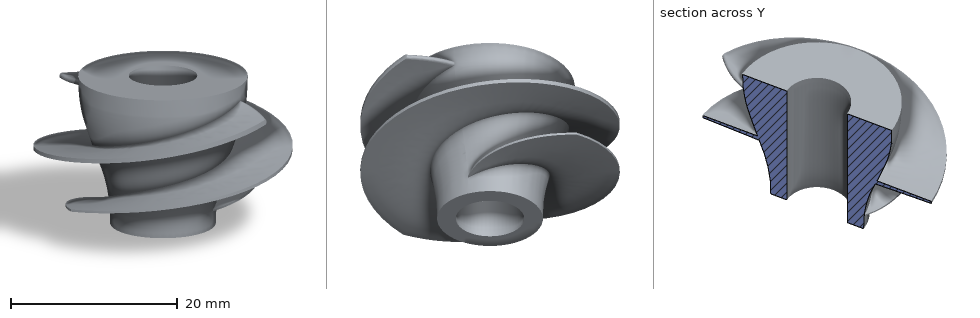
import cadquery as cq
import math

HUB_HEIGHT = 18.45
BOTTOM_RADIUS = 6.35
TOP_RADIUS = 10.17
BORE_RADIUS = 4.1
FLARE_POINTS = [(6.47, 2.8), (7.2, 6.37), (8.15, 8.95), (8.95, 11.3), (9.55, 13.15), (10.1, 16.48)]

BLADE_COUNT = 2
BLADE_RADIUS = 15.55
BLADE_ROOT_RADIUS = 5.3
START_ANGLE = -180
END_ANGLE = 180
BLADE_HEIGHTS = [2.25, 5.75, 8.77, 12.15, 16.25]
START_THICKNESS = 0.2
END_THICKNESS = 0.68
ROOT_THICKENING = 0.37

LEADING_TIP_ANGLE = -113
TRAILING_TIP_ANGLE = 165
TRAILING_ROUND = 0.3
LONG_EDGE = 3.1
CUTTER_RADIUS = BLADE_RADIUS + 0.93
CUTTER_FAR_RADIUS = BLADE_RADIUS + 5.9
CUTTER_OVERLAP = 0.47
CUTTER_MARGIN = 10
LEADING_CUT_TOP = 7.77
TRAILING_CUT_BOTTOM = 12.45
SPIRAL_STEPS = 6


def polar(radius, angle):
    turn = math.radians(angle)
    return radius * math.cos(turn), radius * math.sin(turn)


def make_hub():
    body = (
        cq.Workplane("XZ")
        .moveTo(0, 0)
        .lineTo(BOTTOM_RADIUS, 0)
        .spline(FLARE_POINTS + [(TOP_RADIUS, HUB_HEIGHT)], includeCurrent=True)
        .lineTo(0, HUB_HEIGHT)
        .close()
        .revolve(360, (0, 0, 0), (0, 1, 0))
    )
    bore = cq.Workplane("XY").circle(BORE_RADIUS).extrude(HUB_HEIGHT)
    return body.cut(bore)


def height_at(fraction):
    """Mid-thickness height, by smooth cubic steps through BLADE_HEIGHTS."""
    last = len(BLADE_HEIGHTS) - 1
    step = min(int(fraction * last), last - 1)
    t = fraction * last - step

    def slope(i):
        low = max(i - 1, 0)
        high = min(i + 1, last)
        return (BLADE_HEIGHTS[high] - BLADE_HEIGHTS[low]) / (high - low)

    z0 = BLADE_HEIGHTS[step]
    rise = BLADE_HEIGHTS[step + 1] - z0
    m0 = slope(step)
    m1 = slope(step + 1)
    return z0 + m0 * t + (3 * rise - 2 * m0 - m1) * t**2 + (m0 + m1 - 2 * rise) * t**3


def blade_edge(radius, side):
    """Helical edge on the upper (side = 1) or lower (side = -1) blade face."""
    steps = 32
    points = []
    for i in range(steps + 1):
        fraction = i / steps
        x, y = polar(radius, START_ANGLE + (END_ANGLE - START_ANGLE) * fraction)
        thickness = START_THICKNESS + (END_THICKNESS - START_THICKNESS) * fraction
        z = height_at(fraction) + side * thickness / 2
        if side < 0 and radius == BLADE_ROOT_RADIUS:
            z -= ROOT_THICKENING * math.sin(math.pi * fraction)
        points.append(cq.Vector(x, y, z))
    return cq.Edge.makeSpline(points)


def make_full_turn():
    corners = [
        blade_edge(BLADE_ROOT_RADIUS, -1),
        blade_edge(BLADE_RADIUS, -1),
        blade_edge(BLADE_RADIUS, 1),
        blade_edge(BLADE_ROOT_RADIUS, 1),
    ]
    faces = [cq.Face.makeRuledSurface(corners[i - 1], corners[i]) for i in range(4)]
    for end in (0, 1):
        section = [edge.positionAt(end) for edge in corners]
        faces.append(cq.Face.makeFromWires(cq.Wire.makePolygon(section, close=True)))
    return cq.Workplane(cq.Solid.makeSolid(cq.Shell.makeShell(faces)))


def end_cutter(root_radius, root_angle, tip_angle, outside_angle, bottom, top):
    """Prism bounded by the spiral of a blade end and reaching past that end."""
    spiral = []
    inner = root_radius - CUTTER_OVERLAP
    for i in range(SPIRAL_STEPS + 1):
        radius = inner + (CUTTER_RADIUS - inner) * i / SPIRAL_STEPS
        share = (radius - root_radius) / (BLADE_RADIUS - root_radius)
        spiral.append(polar(radius, root_angle + (tip_angle - root_angle) * share))
    far_middle = polar(CUTTER_FAR_RADIUS, (tip_angle + outside_angle) / 2)
    return (
        cq.Workplane("XY", origin=(0, 0, bottom))
        .spline(spiral)
        .lineTo(*far_middle)
        .lineTo(*polar(CUTTER_RADIUS, outside_angle))
        .lineTo(*polar(inner, outside_angle))
        .close()
        .extrude(top - bottom)
    )


def make_blade():
    leading = end_cutter(
        root_radius=BOTTOM_RADIUS,
        root_angle=START_ANGLE,
        tip_angle=LEADING_TIP_ANGLE,
        outside_angle=START_ANGLE - CUTTER_MARGIN,
        bottom=0,
        top=LEADING_CUT_TOP,
    )
    trailing = end_cutter(
        root_radius=TOP_RADIUS,
        root_angle=END_ANGLE,
        tip_angle=TRAILING_TIP_ANGLE,
        outside_angle=END_ANGLE + CUTTER_MARGIN,
        bottom=TRAILING_CUT_BOTTOM,
        top=HUB_HEIGHT,
    )
    blade = make_full_turn().cut(leading).cut(trailing)
    tip = polar((TOP_RADIUS + BLADE_RADIUS) / 2, (END_ANGLE + TRAILING_TIP_ANGLE) / 2)
    trailing_face = blade.faces(cq.selectors.NearestToPointSelector((*tip, BLADE_HEIGHTS[-1])))
    long_edges = [edge for edge in trailing_face.edges().vals() if edge.Length() > LONG_EDGE]
    return blade.newObject(long_edges).fillet(TRAILING_ROUND)


hub = make_hub()
blade = make_blade()
result = hub
for i in range(BLADE_COUNT):
    result = result.union(blade.rotate((0, 0, 0), (0, 0, 1), i * 360 / BLADE_COUNT))